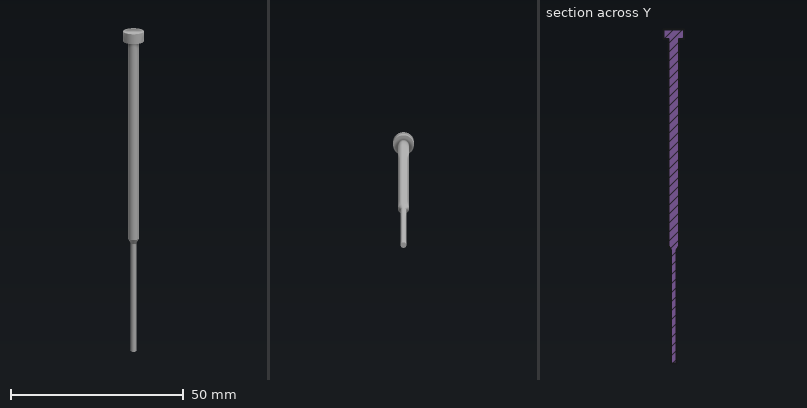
import cadquery as cq

total_length = 97.0
head_diameter = 6.0
head_height = 3.0
shank_diameter = 3.2
tip_diameter = 1.65
tip_length = 32.7
transition_length = 1.5

head_radius = head_diameter / 2
shank_radius = shank_diameter / 2
tip_radius = tip_diameter / 2
shank_bottom = tip_length + transition_length
head_bottom = total_length - head_height

half_profile = (
    cq.Workplane("XZ")
    .moveTo(0, 0)
    .lineTo(tip_radius, 0)
    .lineTo(tip_radius, tip_length)
    .lineTo(shank_radius, shank_bottom)
    .lineTo(shank_radius, head_bottom)
    .lineTo(head_radius, head_bottom)
    .lineTo(head_radius, total_length)
    .lineTo(0, total_length)
    .close()
)

result = half_profile.revolve(360, (0, 0, 0), (0, 1, 0))